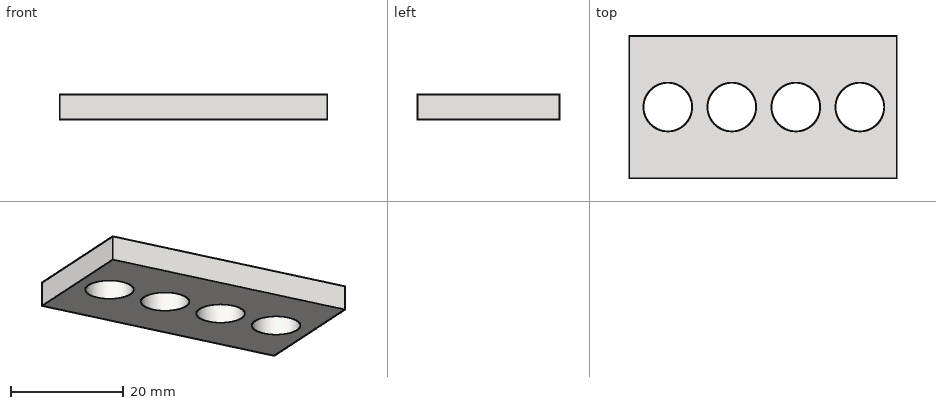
import cadquery as cq

length = 47.75
width = 25.4
thickness = 4.5

hole_diameter = 8.65
hole_count = 4
hole_pitch = 11.4
row_offset = 0.15

plate = cq.Workplane("XY").box(length, width, thickness)

result = (
    plate.faces(">Z")
    .workplane()
    .center(row_offset, 0)
    .rarray(hole_pitch, 0.5, hole_count, 1)
    .hole(hole_diameter)
)